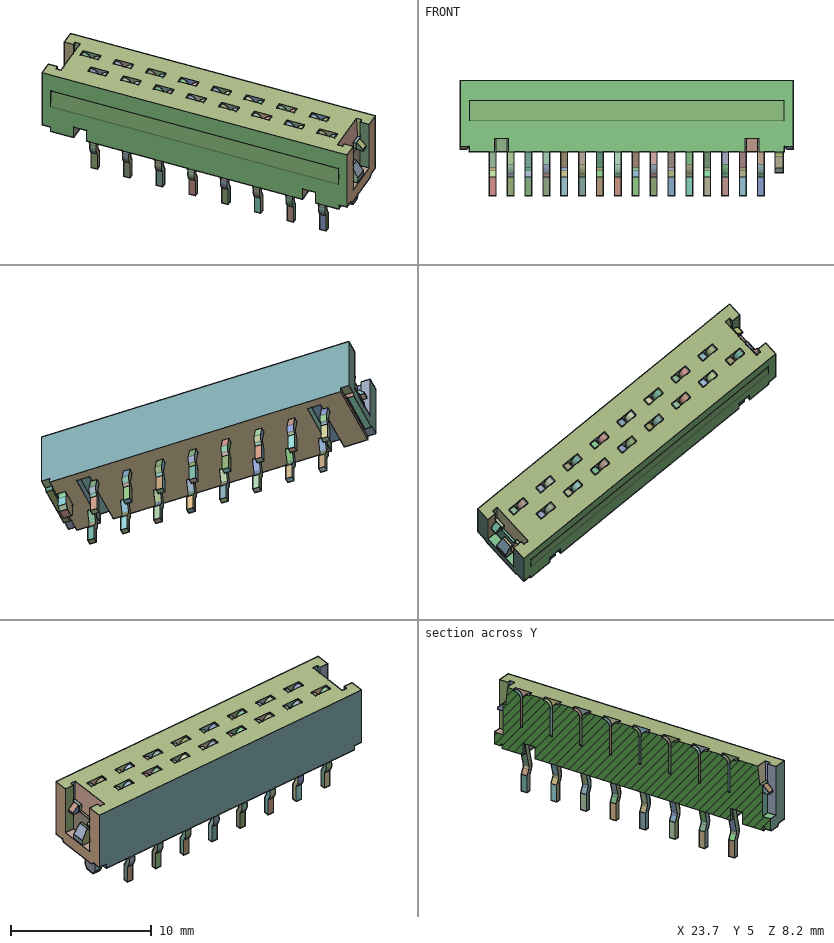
import cadquery as cq
import math

LENGTH = 23.7
WIDTH = 5.0
HEIGHT = 5.07
HALF_LENGTH = LENGTH / 2
EPS = 0.02

PIN_COUNT = 16
PIN_SPAN = 19.05
PIN_PITCH = PIN_SPAN / (PIN_COUNT - 1)
PIN_ROW = 1.28
PIN_WIDTH = 0.5
PIN_THICKNESS = 0.4
PIN_LENGTH = 3.13
PIN_NECK = 1.11
PIN_BULGE = 1.56
PIN_NECK_Z = 0.5
PIN_KINK_Z = -1.23
PIN_TAIL_Z = -1.78
PIN_NECK_RADIUS = 1.42
PIN_KINK_OUTER_RADIUS = 0.9
PIN_KINK_INNER_RADIUS = 0.3
PIN_EMBED = 0.47

SLOT_ROW = 0.75
SLOT_LENGTH = 1.37
SLOT_WIDTH = 0.52
LIP_DROP = 0.12
LIP_SHELF = 0.1
SLOT_GAP = 0.15
SLOT_DEPTH = 2.85

PANEL_LENGTH = 22.37
PANEL_TOP = HEIGHT - 1.42
PANEL_HEIGHT = 1.42
PANEL_DEPTH = 0.15

NOTCH_WIDTH = 1.0
NOTCH_HEIGHT = 0.95
NOTCH_BACK = 1.9
NOTCH_X = (PIN_COUNT / 2 - 1) * PIN_PITCH

RECESS_DEPTH = 0.7
RECESS_WIDTH = 2.8
RECESS_FLOOR = HEIGHT - 3.9
KEYWAY_TOP_DEPTH = 1.11
KEYWAY_TOP_WIDTH = 3.37
KEYWAY_WIDTH = 2.99
KEYWAY_HEIGHT = 1.42
CENTRE_WIDTH = 1.37
CENTRE_HEIGHT = 1.92
WALL_TAPER = 0.12

PEG_INNER = 0.8
PEG_WIDTH = 0.52
PEG_REACH = 0.5
PEG_TOP = HEIGHT - 1.42
PEG_TIP = HEIGHT - 1.92
PEG_BOTTOM = HEIGHT - 2.06
WEDGE_TOP_WIDTH = 0.83
WEDGE_BASE_WIDTH = 1.07
WEDGE_TOP = HEIGHT - 2.7
WEDGE_TIP = HEIGHT - 3.5
WEDGE_SHELF = 0.17
WEDGE_REACH = 0.66

STEP_LENGTH = 0.65
STEP_HEIGHT = 0.38
PAD_HEIGHT = 0.21
PAD_CHAMFER = 0.17
PAD_WIDTH = 3.55

POST_X = 10.83
POST_Y = 0.52
POST_LENGTH_X = 0.62
POST_WIDTH = 1.14
POST_HEIGHT = 1.5
POST_CHAMFER_Y = 0.21
POST_CHAMFER_Z = 0.35
POST_FLARE_Y = 0.17
POST_FLARE_Z = 0.33
POST_FLARE_SAG = 0.05


def block(x0, x1, y0, y1, z0, z1):
    return cq.Workplane("XY").box(x1 - x0, y1 - y0, z1 - z0, centered=False).translate((x0, y0, z0))


def along_x(points, x0, x1):
    """Extrude a closed (Y, Z) outline from x0 to x1."""
    return cq.Workplane("YZ").workplane(offset=x0).polyline(points).close().extrude(x1 - x0)


def along_y(points, y0, y1):
    """Extrude a closed (X, Z) outline from y0 to y1."""
    return cq.Workplane("XZ").workplane(offset=-y1).polyline(points).close().extrude(y1 - y0)


def at_both_ends(left):
    """Pair a feature at the -X end with its mirror image at the +X end."""
    return left.union(left.mirror("YZ"))


def pin(x, side):
    """One kinked contact; side is +1 or -1 for its row."""
    centre_line = [
        (PIN_NECK, NOTCH_HEIGHT + PIN_EMBED),
        (PIN_NECK, PIN_NECK_Z),
        (PIN_BULGE, PIN_KINK_Z),
        (PIN_ROW, PIN_TAIL_Z),
        (PIN_ROW, -PIN_LENGTH),
    ]
    half = PIN_THICKNESS / 2
    outer = [(side * (y + half), z) for y, z in centre_line]
    inner = [(side * (y - half), z) for y, z in reversed(centre_line)]
    bar = along_x(outer + inner, x - PIN_WIDTH / 2, x + PIN_WIDTH / 2)

    def bend_edge(y, z):
        low = (x - EPS, side * y - EPS, z - EPS)
        high = (x + EPS, side * y + EPS, z + EPS)
        return cq.selectors.BoxSelector(low, high)

    bar = bar.edges(bend_edge(PIN_NECK + half, PIN_NECK_Z)).fillet(PIN_NECK_RADIUS)
    bar = bar.edges(bend_edge(PIN_NECK - half, PIN_NECK_Z)).fillet(PIN_NECK_RADIUS)
    bar = bar.edges(bend_edge(PIN_BULGE + half, PIN_KINK_Z)).fillet(PIN_KINK_OUTER_RADIUS)
    return bar.edges(bend_edge(PIN_BULGE - half, PIN_KINK_Z)).fillet(PIN_KINK_INNER_RADIUS)


def entry_slot(x, side):
    """Slot whose floor rolls over two rounded lips into a narrow gap."""
    half = SLOT_LENGTH / 2
    half_gap = SLOT_GAP / 2
    lip_z = HEIGHT - LIP_DROP
    lip_radius = half - LIP_SHELF - half_gap
    lip_bottom = lip_z - lip_radius
    arc_start = half - LIP_SHELF
    diagonal = lip_radius / math.sqrt(2)
    arc_mid = (arc_start - diagonal, lip_bottom + diagonal)
    y_mid = side * SLOT_ROW
    return (
        cq.Workplane("XZ")
        .workplane(offset=-y_mid - SLOT_WIDTH / 2)
        .moveTo(-half, HEIGHT)
        .lineTo(-half, lip_z)
        .lineTo(-arc_start, lip_z)
        .threePointArc((-arc_mid[0], arc_mid[1]), (-half_gap, lip_bottom))
        .lineTo(-half_gap, HEIGHT - SLOT_DEPTH)
        .lineTo(half_gap, HEIGHT - SLOT_DEPTH)
        .lineTo(half_gap, lip_bottom)
        .threePointArc(arc_mid, (arc_start, lip_z))
        .lineTo(half, lip_z)
        .lineTo(half, HEIGHT)
        .close()
        .extrude(SLOT_WIDTH)
        .translate((x, 0, 0))
    )


def panel():
    """Recess that is deepest along its top edge and runs out at its bottom edge."""
    face = -WIDTH / 2
    outline = [(face, PANEL_TOP), (face + PANEL_DEPTH, PANEL_TOP), (face, PANEL_TOP - PANEL_HEIGHT)]
    return along_x(outline, -PANEL_LENGTH / 2, PANEL_LENGTH / 2)


def end_recess():
    """Open pocket at the -X end with a sloped, wider keyway behind it."""
    end = -HALF_LENGTH
    wall = end + RECESS_DEPTH
    pocket = block(end, wall, -RECESS_WIDTH / 2, RECESS_WIDTH / 2, RECESS_FLOOR, HEIGHT)

    def sloped_wall(depth):
        return [
            (wall, HEIGHT),
            (end + KEYWAY_TOP_DEPTH, HEIGHT),
            (end + KEYWAY_TOP_DEPTH - depth * WALL_TAPER, HEIGHT - depth),
            (wall, HEIGHT - depth),
        ]

    half_top = KEYWAY_TOP_WIDTH / 2
    half_floor = KEYWAY_WIDTH / 2
    floor = HEIGHT - KEYWAY_HEIGHT
    side_taper = [(-half_top, HEIGHT), (half_top, HEIGHT), (half_floor, floor), (-half_floor, floor)]
    keyway = along_y(sloped_wall(KEYWAY_HEIGHT), -half_top, half_top)
    keyway = keyway.intersect(along_x(side_taper, wall, end + KEYWAY_TOP_DEPTH))
    centre = along_y(sloped_wall(CENTRE_HEIGHT), -CENTRE_WIDTH / 2, CENTRE_WIDTH / 2)
    return pocket.union(keyway).union(centre)


def recess_details():
    """Two sloped pegs and the latch wedge standing in the -X recess."""
    wall = -HALF_LENGTH + RECESS_DEPTH
    root = wall + EPS
    peg_tip = wall - PEG_REACH
    peg_outline = [
        (root, PEG_TOP), (wall, PEG_TOP), (peg_tip, PEG_TIP), (peg_tip, PEG_BOTTOM), (root, PEG_BOTTOM)
    ]
    peg = along_y(peg_outline, PEG_INNER, PEG_INNER + PEG_WIDTH)

    wedge_tip = wall - WEDGE_REACH
    wedge_root = RECESS_FLOOR - EPS
    wedge_outline = [
        (root, WEDGE_TOP),
        (wall - WEDGE_SHELF, WEDGE_TOP),
        (wedge_tip, WEDGE_TIP),
        (wedge_tip, wedge_root),
        (root, wedge_root),
    ]
    half_top = WEDGE_TOP_WIDTH / 2
    half_base = WEDGE_BASE_WIDTH / 2
    side_taper = [
        (-half_top, WEDGE_TOP), (half_top, WEDGE_TOP), (half_base, wedge_root), (-half_base, wedge_root)
    ]
    wedge = along_y(wedge_outline, -half_base, half_base)
    wedge = wedge.intersect(along_x(side_taper, wedge_tip, root))
    return peg.union(peg.mirror("XZ")).union(wedge)


def end_step():
    """Material removed under the -X end, leaving a chamfered pad."""
    end = -HALF_LENGTH
    step = block(end, end + STEP_LENGTH, -WIDTH / 2, WIDTH / 2, 0, STEP_HEIGHT)
    pad_bottom = STEP_HEIGHT - PAD_HEIGHT
    inner = end + STEP_LENGTH
    half = PAD_WIDTH / 2
    pad = along_y(
        [(end, STEP_HEIGHT), (inner, STEP_HEIGHT), (inner - PAD_CHAMFER, pad_bottom), (end, pad_bottom)],
        -half,
        half,
    )
    side_taper = [
        (-half, STEP_HEIGHT),
        (half, STEP_HEIGHT),
        (half - PAD_CHAMFER, pad_bottom),
        (-half + PAD_CHAMFER, pad_bottom),
    ]
    return step.cut(pad.intersect(along_x(side_taper, end, inner)))


def locating_post():
    """Post with a chamfered tip and a flared root."""
    near = POST_Y - POST_WIDTH / 2
    far = POST_Y + POST_WIDTH / 2
    flare_mid_y = POST_FLARE_Y / 2 - POST_FLARE_SAG
    flare_mid_z = -POST_FLARE_Z / 2 + POST_FLARE_SAG
    chamfer_top = -POST_HEIGHT + POST_CHAMFER_Z
    return (
        cq.Workplane("YZ")
        .workplane(offset=POST_X - POST_LENGTH_X / 2)
        .moveTo(near - POST_FLARE_Y, EPS)
        .lineTo(near - POST_FLARE_Y, 0)
        .threePointArc((near - flare_mid_y, flare_mid_z), (near, -POST_FLARE_Z))
        .lineTo(near, chamfer_top)
        .lineTo(near + POST_CHAMFER_Y, -POST_HEIGHT)
        .lineTo(far - POST_CHAMFER_Y, -POST_HEIGHT)
        .lineTo(far, chamfer_top)
        .lineTo(far, -POST_FLARE_Z)
        .threePointArc((far + flare_mid_y, flare_mid_z), (far + POST_FLARE_Y, 0))
        .lineTo(far + POST_FLARE_Y, EPS)
        .close()
        .extrude(POST_LENGTH_X)
    )


result = block(-HALF_LENGTH, HALF_LENGTH, -WIDTH / 2, WIDTH / 2, 0, HEIGHT)
result = result.cut(panel())
result = result.cut(at_both_ends(end_recess())).union(at_both_ends(recess_details()))
result = result.cut(at_both_ends(end_step()))

for notch_x in (-NOTCH_X, NOTCH_X):
    notch_left = notch_x - NOTCH_WIDTH / 2
    notch_right = notch_x + NOTCH_WIDTH / 2
    result = result.cut(block(notch_left, notch_right, -WIDTH / 2, NOTCH_BACK, 0, NOTCH_HEIGHT))

for index in range(PIN_COUNT):
    pin_x = (index - (PIN_COUNT - 1) / 2) * PIN_PITCH
    row_side = 1 if index % 2 == 0 else -1
    result = result.cut(entry_slot(pin_x, row_side)).union(pin(pin_x, row_side))

result = result.union(locating_post())